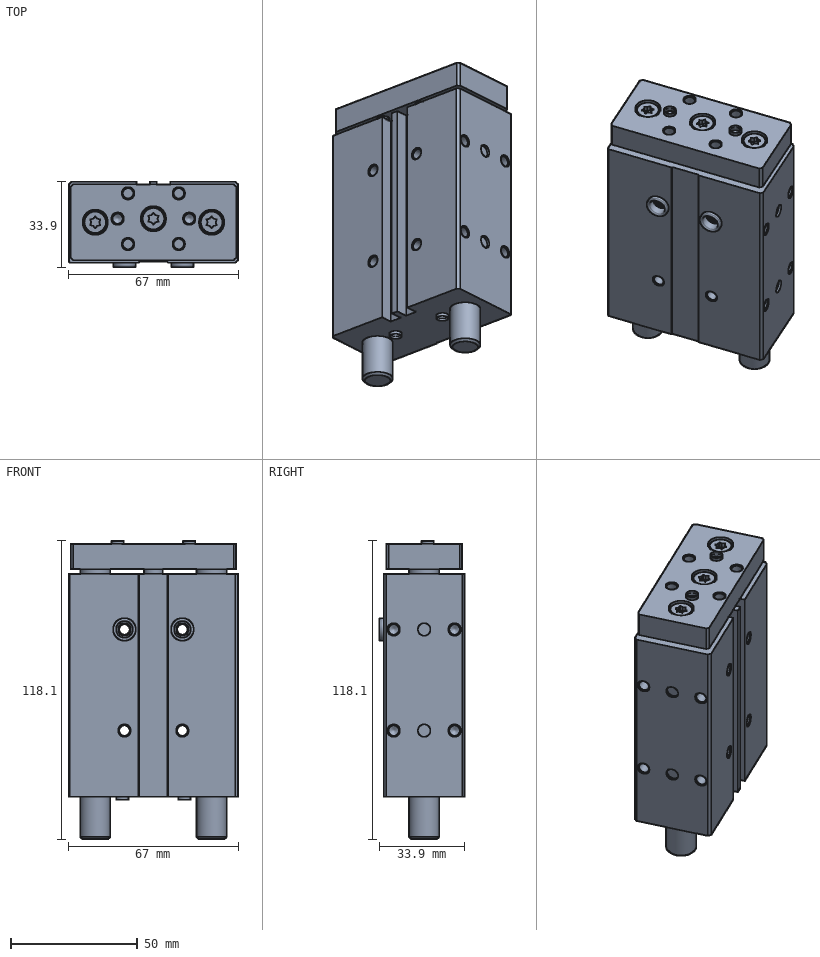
import cadquery as cq
import math


housing_width = 67.0
housing_depth = 32.1
housing_height = 88.2
housing_bottom = 16.8
housing_top = housing_bottom + housing_height
housing_front = -housing_depth / 2
corner_chamfer = 1.1
front_left_chamfer = 0.5

channel_width = 11.8
channel_floor_width = 11.1
channel_depth = 0.4
back_slot_width = 5.2
back_slot_depth = 5.2
back_rib_width = 2.8

thread_diameter = 4.1
thread_mouth = 5.0
thread_chamfer = (thread_mouth - thread_diameter) / 2
thread_depth = 8.0
drill_point_angle = 118
lower_hole_z = housing_bottom + 26.2
upper_hole_z = lower_hole_z + 40.0
hole_heights = (lower_hole_z, upper_hole_z)
mounting_hole_x = 11.5
side_hole_y = 12.0
side_recess_diameter = 5.0
side_recess_depth = 1.1

carriage_gap = 1.9
plate_width = 65.4
plate_depth = 30.0
plate_height = 10.0
plate_chamfer = 1.0
plate_bottom = housing_top + carriage_gap
plate_top = plate_bottom + plate_height
guide_rod_diameter = 12.0
guide_rod_x = 23.0
guide_rod_chamfer = 1.0
piston_rod_diameter = 7.5
piston_rod_y = 1.4
piston_rod_floor = 10.0
plate_hole_spacing = 20.1

screw_seat_diameter = 10.0
screw_head_diameter = 9.2
screw_head_chamfer = 0.4
screw_head_height = 2.4
screw_seat_depth = 3.0
star_tip_diameter = 4.7
star_root_diameter = 3.2
star_depth = 2.1
star_tips = 6
screw_places = [(-guide_rod_x, 0), (0, piston_rod_y), (guide_rod_x, 0)]

small_sleeve_diameter = 5.0
small_sleeve_bore = 4.0
small_sleeve_height = 1.2
small_sleeve_seat = 1.2
plate_sleeve_x = 14.2
bottom_sleeve_x = 12.3
large_sleeve_diameter = 9.0
large_sleeve_bore = 6.6
large_sleeve_height = 1.8
large_sleeve_seat = 2.2

UP = cq.Vector(0, 0, 1)
DOWN = cq.Vector(0, 0, -1)
LEFT = cq.Vector(-1, 0, 0)
RIGHT = cq.Vector(1, 0, 0)
BACK = cq.Vector(0, 1, 0)


def rod(diameter, length, start, direction):
    """Cylinder that runs from a start point along a direction."""
    return cq.Workplane(cq.Solid.makeCylinder(diameter / 2, length, cq.Vector(*start), direction))


def cone(start_diameter, end_diameter, length, start, direction):
    """Cone that runs from a start point along a direction."""
    return cq.Workplane(
        cq.Solid.makeCone(start_diameter / 2, end_diameter / 2, length, cq.Vector(*start), direction)
    )


def countersink(mouth, direction):
    """Cutter for the chamfer at the mouth of a small hole."""
    return cone(thread_mouth, thread_diameter, thread_chamfer, mouth, direction)


def blind_hole(mouth, depth, direction):
    """Cutter for a small hole that ends in a drill point."""
    point_height = thread_diameter / 2 / math.tan(math.radians(drill_point_angle / 2))
    bottom = cq.Vector(*mouth) + direction * depth
    drill_point = cone(thread_diameter, 0, point_height, bottom.toTuple(), direction)
    return rod(thread_diameter, depth, mouth, direction).union(drill_point)


def through_hole(mouth, length, direction):
    """Cutter for a small hole that is countersunk at both ends."""
    far_mouth = (cq.Vector(*mouth) + direction * length).toTuple()
    hole = rod(thread_diameter, length, mouth, direction)
    return hole.union(countersink(mouth, direction)).union(countersink(far_mouth, -direction))


def housing_block():
    block = cq.Workplane().box(
        housing_width, housing_depth, housing_height, centered=(True, True, False)
    )
    block = block.edges("|Z and (>X or >Y)").chamfer(corner_chamfer)
    block = block.edges("|Z and <X and <Y").chamfer(front_left_chamfer)
    return block.translate((0, 0, housing_bottom))


def front_channel():
    profile = [
        (-channel_width / 2, housing_front),
        (channel_width / 2, housing_front),
        (channel_floor_width / 2, housing_front + channel_depth),
        (-channel_floor_width / 2, housing_front + channel_depth),
    ]
    return cq.Workplane(origin=(0, 0, housing_bottom)).polyline(profile).close().extrude(housing_height)


def back_slots():
    slot_x = (back_rib_width + back_slot_width) / 2
    return (
        cq.Workplane(origin=(0, housing_depth / 2 - back_slot_depth / 2, housing_bottom))
        .pushPoints([(-slot_x, 0), (slot_x, 0)])
        .rect(back_slot_width, back_slot_depth)
        .extrude(housing_height)
    )


def make_housing():
    body = housing_block().cut(front_channel()).cut(back_slots())

    for x in (-guide_rod_x, guide_rod_x):
        body = body.cut(rod(guide_rod_diameter, housing_height, (x, 0, housing_bottom), UP))
    piston_bore_depth = housing_height - piston_rod_floor
    body = body.cut(rod(piston_rod_diameter, piston_bore_depth, (0, piston_rod_y, housing_top), DOWN))

    for x in (-mounting_hole_x, mounting_hole_x):
        for z in hole_heights:
            body = body.cut(through_hole((x, housing_front, z), housing_depth, BACK))
        seat_mouth = (x, housing_front, upper_hole_z)
        seat_floor = housing_front + large_sleeve_seat
        body = body.cut(rod(large_sleeve_diameter, large_sleeve_seat, seat_mouth, BACK))
        body = body.cut(countersink((x, seat_floor, upper_hole_z), BACK))

    for side_x, inward in ((-housing_width / 2, RIGHT), (housing_width / 2, LEFT)):
        for z in hole_heights:
            for y in (-side_hole_y, side_hole_y):
                body = body.cut(blind_hole((side_x, y, z), thread_depth, inward))
                body = body.cut(countersink((side_x, y, z), inward))
            body = body.cut(rod(side_recess_diameter, side_recess_depth, (side_x, 0, z), inward))

    for x in (-bottom_sleeve_x, bottom_sleeve_x):
        seat_mouth = (x, piston_rod_y, housing_bottom)
        body = body.cut(rod(small_sleeve_diameter, small_sleeve_seat, seat_mouth, UP))
    return body


def star_socket(x, y):
    """Cutter for the six-pointed drive socket of a screw head."""
    points = []
    for index in range(2 * star_tips):
        radius = (star_root_diameter if index % 2 else star_tip_diameter) / 2
        angle = math.pi / 2 + index * math.pi / star_tips
        points.append((radius * math.cos(angle), radius * math.sin(angle)))
    socket_top = plate_top - screw_seat_depth + screw_head_height
    return cq.Workplane(origin=(x, y, socket_top)).polyline(points).close().extrude(-star_depth)


def screw_recess(x, y):
    """Cutter that leaves a screw head standing in its counterbore, with a narrow gap around it."""
    head = rod(screw_head_diameter, screw_head_height, (x, y, plate_top - screw_seat_depth), UP)
    head = head.faces(">Z").chamfer(screw_head_chamfer)
    seat = rod(screw_seat_diameter, screw_seat_depth, (x, y, plate_top), DOWN)
    return seat.cut(head).union(star_socket(x, y))


def make_carriage():
    body = cq.Workplane().box(plate_width, plate_depth, plate_height, centered=(True, True, False))
    body = body.edges("|Z").chamfer(plate_chamfer).translate((0, 0, plate_bottom))

    for x, y in screw_places:
        body = body.cut(screw_recess(x, y))
    for x in (-plate_hole_spacing / 2, plate_hole_spacing / 2):
        for y in (-plate_hole_spacing / 2, plate_hole_spacing / 2):
            body = body.cut(through_hole((x, piston_rod_y + y, plate_top), plate_height, DOWN))
    for x in (-plate_sleeve_x, plate_sleeve_x):
        mouth = (x, piston_rod_y, plate_top)
        body = body.cut(rod(small_sleeve_diameter, small_sleeve_seat, mouth, DOWN))
        body = body.cut(blind_hole(mouth, small_sleeve_seat, DOWN))

    for x in (-guide_rod_x, guide_rod_x):
        guide_rod = rod(guide_rod_diameter, plate_bottom, (x, 0, 0), UP)
        body = body.union(guide_rod.faces("<Z").chamfer(guide_rod_chamfer))
    piston_rod_bottom = housing_bottom + piston_rod_floor
    piston_rod_length = plate_bottom - piston_rod_bottom
    return body.union(rod(piston_rod_diameter, piston_rod_length, (0, piston_rod_y, piston_rod_bottom), UP))


def make_sleeve(diameter, bore, seat_depth, height):
    """Upright sleeve with a rounded upper end, sunk below Z = 0 by the depth of its seat."""
    outer_radius = diameter / 2
    inner_radius = bore / 2
    middle_radius = (outer_radius + inner_radius) / 2
    round_start = height - (outer_radius - inner_radius) / 2
    profile = (
        cq.Workplane("XZ")
        .moveTo(inner_radius, -seat_depth)
        .lineTo(outer_radius, -seat_depth)
        .lineTo(outer_radius, round_start)
        .threePointArc((middle_radius, height), (inner_radius, round_start))
        .close()
    )
    return profile.revolve(360, (0, 0, 0), (0, 1, 0))


def make_small_sleeve():
    return make_sleeve(small_sleeve_diameter, small_sleeve_bore, small_sleeve_seat, small_sleeve_height)


def make_plate_sleeve(x):
    """Small sleeve that stands on top of the plate."""
    return make_small_sleeve().translate((x, piston_rod_y, plate_top))


def make_bottom_sleeve(x):
    """Small sleeve that hangs from the underside of the housing."""
    upside_down = make_small_sleeve().rotate((0, 0, 0), (1, 0, 0), 180)
    return upside_down.translate((x, piston_rod_y, housing_bottom))


def make_mounting_sleeve(x):
    """Large sleeve that stands out of the front face of the housing."""
    upright = make_sleeve(large_sleeve_diameter, large_sleeve_bore, large_sleeve_seat, large_sleeve_height)
    return upright.rotate((0, 0, 0), (1, 0, 0), 90).translate((x, housing_front, upper_hole_z))


housing = make_housing()
carriage = make_carriage()
plate_sleeves = [make_plate_sleeve(x) for x in (-plate_sleeve_x, plate_sleeve_x)]
bottom_sleeves = [make_bottom_sleeve(x) for x in (-bottom_sleeve_x, bottom_sleeve_x)]
mounting_sleeves = [make_mounting_sleeve(x) for x in (-mounting_hole_x, mounting_hole_x)]
sleeves = plate_sleeves + bottom_sleeves + mounting_sleeves

result = cq.Compound.makeCompound([housing.val(), carriage.val(), *[sleeve.val() for sleeve in sleeves]])